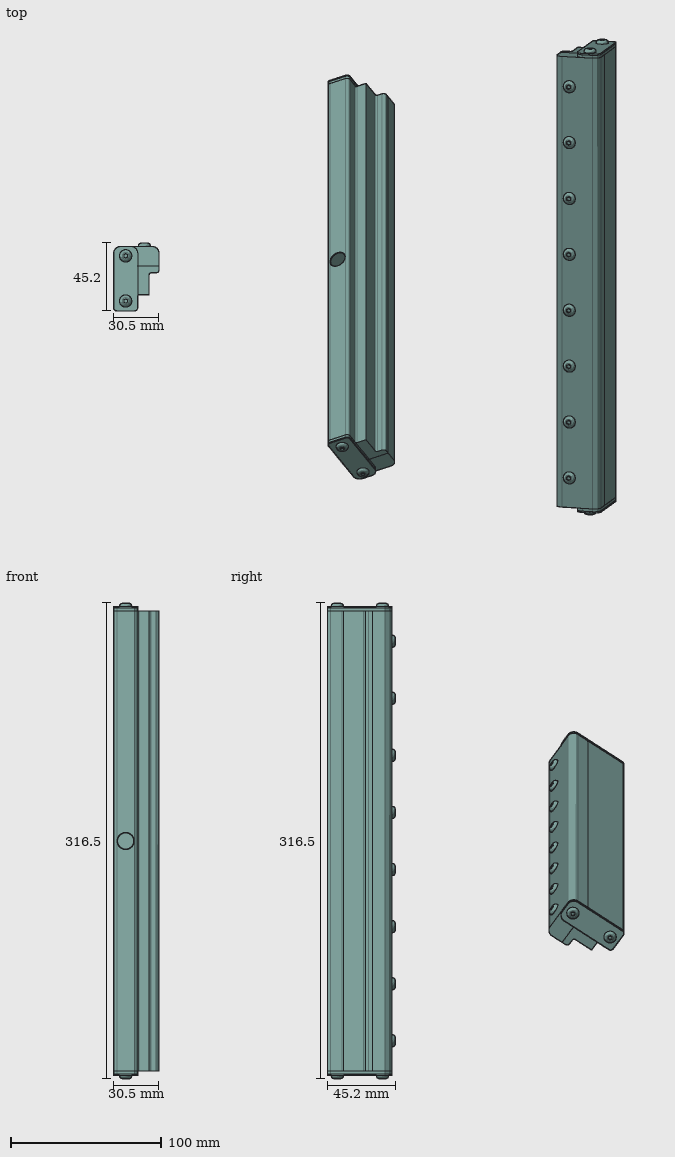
import cadquery as cq
import math

total_length = 316.5
total_width = 30.5
total_depth = 45.2

head_height = 2.2
head_radius = 4.0
head_flat_radius = 2.2
socket_width = 2.5
socket_depth = 1.3

plate_thickness = 1.0
gasket_thickness = 2.0
plate_width = 16.0
end_screw_x = plate_width / 2
end_screw_ys = (6.5, 36.7)

bar_depth = total_depth - head_height
bar_length = total_length - 2 * (head_height + plate_thickness + gasket_thickness)
split_y = 30.0
back_radius = 4.7
front_radius = 2.2

ledge_front_y = 25.3
rib_front_y = 10.8
rib_side_x = 23.7
ledge_radius = 2.2
rib_foot_radius = 1.0
ledge_foot_radius = 1.3

hole_diameter = 10.8
hole_chamfer = 0.3
hole_depth = 12.5

rear_screw_count = 8
rear_screw_pitch = 38.0
rear_screw_x = 20.5

gasket_z = bar_length / 2
plate_z = gasket_z + gasket_thickness
plate_top_z = plate_z + plate_thickness


def screw_head():
    """Button head standing on Z = 0, with a hexagonal socket in its flat top."""
    slope_mid = math.sqrt(0.5)
    arc_mid = (
        head_flat_radius + (head_radius - head_flat_radius) * slope_mid,
        head_height * slope_mid,
    )
    head = (
        cq.Workplane("XZ")
        .lineTo(head_radius, 0)
        .threePointArc(arc_mid, (head_flat_radius, head_height))
        .lineTo(0, head_height)
        .close()
        .revolve(360, (0, 0, 0), (0, 1, 0))
    )
    socket = (
        cq.Workplane("XY", origin=(0, 0, head_height - socket_depth))
        .polygon(6, socket_width, circumscribed=True)
        .extrude(socket_depth)
    )
    return head.cut(socket)


def make_front_bar():
    """Housing with a stepped rib on its +X side and a blind hole in its front face."""
    bar = (
        cq.Workplane("XY", origin=(0, 0, -bar_length / 2))
        .lineTo(plate_width, 0)
        .lineTo(plate_width, rib_front_y)
        .lineTo(rib_side_x, rib_front_y)
        .lineTo(rib_side_x, ledge_front_y)
        .lineTo(total_width, ledge_front_y)
        .lineTo(total_width, split_y)
        .lineTo(0, split_y)
        .close()
        .extrude(bar_length)
    )
    bar = bar.edges("|Z and <Y").fillet(front_radius)
    rounded_corners = [
        (plate_width, rib_front_y, rib_foot_radius),
        (rib_side_x, ledge_front_y, ledge_foot_radius),
        (total_width, ledge_front_y, ledge_radius),
    ]
    for x, y, radius in rounded_corners:
        bar = bar.edges(cq.selectors.NearestToPointSelector((x, y, 0))).fillet(radius)
    hole = cq.Workplane("XZ", origin=(end_screw_x, 0, 0)).circle(hole_diameter / 2).extrude(-hole_depth)
    return bar.cut(hole).faces("<Y").edges("%CIRCLE").chamfer(hole_chamfer)


def make_rear_bar():
    """Rear bar with rounded back edges, carrying a row of screw heads."""
    bar = (
        cq.Workplane("XY", origin=(0, 0, -bar_length / 2))
        .moveTo(0, split_y)
        .rect(total_width, bar_depth - split_y, centered=False)
        .extrude(bar_length)
        .edges("|Z and >Y")
        .fillet(back_radius)
    )
    head = screw_head().rotate((0, 0, 0), (1, 0, 0), -90)
    for i in range(rear_screw_count):
        z = (i - (rear_screw_count - 1) / 2) * rear_screw_pitch
        bar = bar.union(head.translate((rear_screw_x, bar_depth, z)))
    return bar


def end_sheet(thickness, bottom_z):
    """Flat sheet with rounded corners, lying across the ends of both bars."""
    sheet = (
        cq.Workplane("XY", origin=(0, 0, bottom_z))
        .rect(plate_width, bar_depth, centered=False)
        .extrude(thickness)
    )
    return sheet.edges("|Z and >Y").fillet(back_radius).edges("|Z and <Y").fillet(front_radius)


def make_gasket():
    """Gasket between the upper end of the bars and the end plate."""
    return end_sheet(gasket_thickness, gasket_z)


def make_end_plate():
    """Upper end plate, carrying its two screw heads."""
    plate = end_sheet(plate_thickness, plate_z)
    for y in end_screw_ys:
        plate = plate.union(screw_head().translate((end_screw_x, y, plate_top_z)))
    return plate


front_bar = make_front_bar()
rear_bar = make_rear_bar()
upper_gasket = make_gasket()
upper_plate = make_end_plate()
lower_gasket = upper_gasket.mirror("XY")
lower_plate = upper_plate.mirror("XY")

result = cq.Compound.makeCompound(
    [
        front_bar.val(),
        rear_bar.val(),
        upper_gasket.val(),
        upper_plate.val(),
        lower_gasket.val(),
        lower_plate.val(),
    ]
)